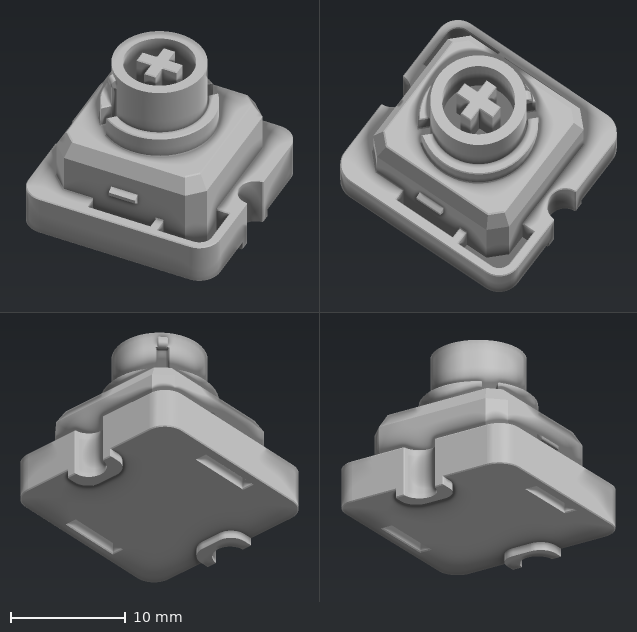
import cadquery as cq
length_x = 18.6
length_y = 18.2
total_height = 16.05
foot_height = 0.76
plate_top = 4.65
plate_corner_radius = 2.0
edge_break = 0.1
notch_radius = 1.56
foot_size = 2.53
foot_corner_radius = 1.56

window_half_x = 3.03
window_edge_y = 8.1
pocket_edge_x = 8.5
pocket_edge_y = 8.3
pocket_side_x = 3.78
pocket_side_y = 3.59
pocket_radius = 1.19
pocket_floor = 1.64

block_half_x = 7.3
block_half_y = 7.0
block_corner = 1.41
block_wall_top = 8.25
block_top = 9.67
taper_inset = 0.82
roof_corner = 1.02
catch_width = 2.57
catch_reach = 0.52
catch_bottom = 5.71
catch_top = 6.7
catch_tip_bottom = 6.06
catch_tip_top = 6.4

collar_diameter = 10.43
collar_top = 11.7
bore_diameter = 8.5
collar_slot_width = 1.43
slot_angle = 45.0

stem_diameter = 8.4
stem_bottom = plate_top
recess_diameter = 6.4
recess_depth = 4.65
cross_span = 3.89
cross_x_arm = 1.23
cross_y_arm = 1.08
cross_root_radius = 0.1
groove_width = 1.0
groove_floor_radius = 3.65
groove_top = 14.55
groove_lead = 0.13
knob_width = 0.91
knob_radius = 0.52
knob_height = 15.03
knob_reach = 4.65

overlap = 0.19
tolerance = 0.02


def block_between(x0, x1, y0, y1, z0, z1):
    """Axis-aligned box between the given limits."""
    return cq.Workplane("XY").box(x1 - x0, y1 - y0, z1 - z0, centered=False).translate((x0, y0, z0))


def octagon(half_x, half_y, corner):
    """Corner points of a rectangle with cut corners."""
    return [
        (half_x, -half_y + corner),
        (half_x, half_y - corner),
        (half_x - corner, half_y),
        (-half_x + corner, half_y),
        (-half_x, half_y - corner),
        (-half_x, -half_y + corner),
        (-half_x + corner, -half_y),
        (half_x - corner, -half_y),
    ]


def about_axis(shape, angle):
    """Shape turned about the Z axis."""
    return shape.rotate((0, 0, 0), (0, 0, 1), angle)


def make_windows():
    """Through openings beside the two Y walls of the block."""
    window = block_between(
        -window_half_x, window_half_x, block_half_y - overlap, window_edge_y, 0, plate_top
    )
    return window.union(about_axis(window, 180))


def make_pockets():
    """Blind pockets at two opposite corners of the plate."""
    pocket = (
        block_between(-pocket_edge_x, -pocket_side_x, pocket_side_y, pocket_edge_y, pocket_floor, plate_top)
        .edges("|Z and <X and >Y")
        .fillet(pocket_radius)
    )
    return pocket.union(about_axis(pocket, 180))


def make_notches():
    """Half-round notches through the X sides of the plate and the feet."""
    centers = [(-length_x / 2, 0), (length_x / 2, 0)]
    return cq.Workplane("XY").pushPoints(centers).circle(notch_radius).extrude(plate_top)


def make_plate():
    """Rounded plate with notches, windows and pockets."""
    plate = (
        cq.Workplane("XY", origin=(0, 0, foot_height))
        .rect(length_x, length_y)
        .extrude(plate_top - foot_height)
        .edges("|Z")
        .fillet(plate_corner_radius)
        .cut(make_notches())
    )
    mouth_half = notch_radius + overlap
    notch_mouths = cq.selectors.BoxSelector(
        (-length_x, -mouth_half, 0), (length_x, mouth_half, plate_top)
    )
    plate = plate.edges("|Z").edges(notch_mouths).chamfer(edge_break)
    plate = plate.cut(make_windows()).cut(make_pockets())
    return plate.faces(">Z or <Z").edges().chamfer(edge_break)


def make_foot():
    """Foot around the -X notch, bevelled along its outer side."""
    foot = block_between(
        -length_x / 2, foot_size - length_x / 2, -foot_size, foot_size, 0, foot_height + edge_break
    )
    foot = foot.edges("|Z and >X").fillet(foot_corner_radius).cut(make_notches())
    return foot.faces("<X").edges("|Z or <Z").chamfer(edge_break)


def make_block():
    """Octagonal block with a sloped roof, standing in the plate."""
    walls = (
        cq.Workplane("XY", origin=(0, 0, foot_height))
        .polyline(octagon(block_half_x, block_half_y, block_corner))
        .close()
        .extrude(block_wall_top - foot_height)
    )
    roof = (
        cq.Workplane("XY", origin=(0, 0, block_wall_top))
        .polyline(octagon(block_half_x, block_half_y, block_corner))
        .close()
        .workplane(offset=block_top - block_wall_top)
        .polyline(octagon(block_half_x - taper_inset, block_half_y - taper_inset, roof_corner))
        .close()
        .loft(ruled=True)
        .faces(">Z")
        .edges()
        .chamfer(edge_break)
    )
    return walls.union(roof)


def make_skirt():
    """Narrow bevel where the block walls meet the top of the plate."""
    skirt = (
        cq.Workplane("XY", origin=(0, 0, plate_top))
        .polyline(octagon(block_half_x + edge_break, block_half_y + edge_break, block_corner))
        .close()
        .workplane(offset=edge_break)
        .polyline(octagon(block_half_x, block_half_y, block_corner))
        .close()
        .loft(ruled=True)
    )
    lift = (0, 0, edge_break)
    return skirt.cut(make_windows().translate(lift)).cut(make_pockets().translate(lift))


def make_catch():
    """Wedge-shaped catch on the +Y wall."""
    return (
        cq.Workplane("YZ", origin=(-catch_width / 2, 0, 0))
        .moveTo(block_half_y, catch_bottom)
        .lineTo(block_half_y + catch_reach, catch_tip_bottom)
        .lineTo(block_half_y + catch_reach, catch_tip_top)
        .lineTo(block_half_y, catch_top)
        .close()
        .extrude(catch_width)
    )


def make_collar():
    """Two half rings with bevelled tops, split by the slots."""
    slot_reach = collar_diameter / 2 + overlap
    slot_half = collar_slot_width / 2
    slot = block_between(-slot_reach, slot_reach, -slot_half, slot_half, block_top, collar_top)
    collar = (
        cq.Workplane("XY", origin=(0, 0, block_top))
        .circle(collar_diameter / 2)
        .circle(bore_diameter / 2)
        .extrude(collar_top - block_top)
        .cut(slot)
        .faces(">Z")
        .edges()
        .chamfer(edge_break)
    )
    return about_axis(collar, slot_angle)


def make_housing():
    """Plate, block, collar, feet and catches as one body, bored for the stem."""
    housing = make_plate().union(make_block()).union(make_skirt()).union(make_collar())
    for half in (make_foot(), make_catch()):
        housing = housing.union(half).union(about_axis(half, 180))
    span = collar_diameter / 2 + tolerance
    collar_base = cq.selectors.BoxSelector(
        (-span, -span, block_top - tolerance), (span, span, block_top + tolerance), boundingbox=True
    )
    housing = housing.edges(collar_base).chamfer(edge_break)
    bore = cq.Workplane("XY", origin=(0, 0, stem_bottom)).circle(bore_diameter / 2)
    return housing.cut(bore.extrude(total_height))


def make_cross():
    """Cross-shaped post standing in the recess of the stem."""
    recess_floor = total_height - recess_depth
    arm_sizes = [(cross_span, cross_x_arm), (cross_y_arm, cross_span)]
    x_arm, y_arm = [
        cq.Workplane("XY", origin=(0, 0, recess_floor)).rect(*size).extrude(recess_depth)
        for size in arm_sizes
    ]
    cross = x_arm.union(y_arm)
    root_zone = cq.selectors.BoxSelector(
        (-cross_x_arm, -cross_x_arm, 0), (cross_x_arm, cross_x_arm, total_height)
    )
    cross = cross.edges("|Z").edges(root_zone).fillet(cross_root_radius)
    return cross.faces(">Z").chamfer(edge_break)


def make_groove():
    """Vertical groove along the -X side of the stem, before it is turned into place."""
    stem_radius = stem_diameter / 2
    half = groove_width / 2
    mouth = half + groove_lead
    lead_end = -stem_radius + 2 * groove_lead
    outside = -stem_radius - overlap
    groove = (
        cq.Workplane("XY", origin=(0, 0, stem_bottom))
        .moveTo(-groove_floor_radius, -half)
        .lineTo(lead_end, -half)
        .lineTo(-stem_radius, -mouth)
        .lineTo(outside, -mouth)
        .lineTo(outside, mouth)
        .lineTo(-stem_radius, mouth)
        .lineTo(lead_end, half)
        .lineTo(-groove_floor_radius, half)
        .close()
        .extrude(groove_top - stem_bottom)
    )
    return groove.edges("|Z and >X").chamfer(edge_break)


def make_knob():
    """Round cross bar above the groove, half sunk into the stem wall."""
    knob = cq.Workplane("XZ", origin=(knob_radius - knob_reach, knob_width / 2, knob_height))
    knob = knob.circle(knob_radius).extrude(knob_width)
    return knob.edges().chamfer(edge_break)


def make_stem():
    """Round stem with its groove, knob, recess and cross."""
    stem = (
        cq.Workplane("XY", origin=(0, 0, stem_bottom))
        .circle(stem_diameter / 2)
        .extrude(total_height - stem_bottom)
        .cut(about_axis(make_groove(), slot_angle))
        .union(about_axis(make_knob(), slot_angle))
    )
    recess = cq.Workplane("XY", origin=(0, 0, total_height - recess_depth)).circle(recess_diameter / 2)
    return stem.cut(recess.extrude(recess_depth)).union(make_cross())


housing = make_housing()
stem = make_stem()
result = cq.Compound.makeCompound([housing.val(), stem.val()])